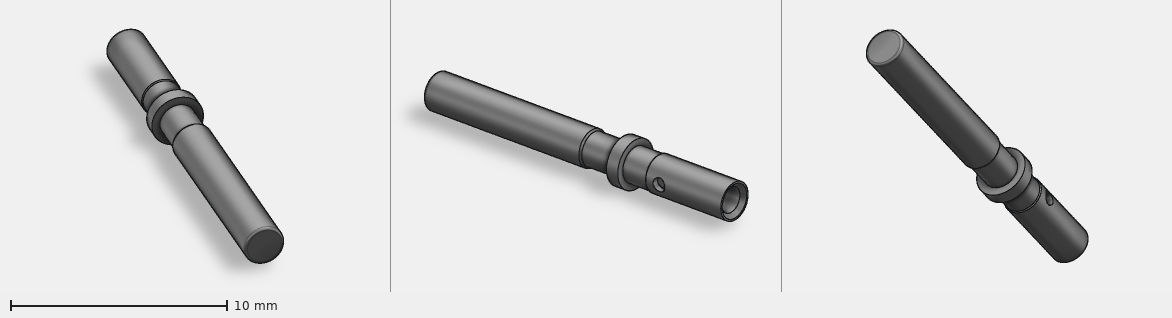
import cadquery as cq
import math

total_length = 18.1
barrel_length = 4.56
flange_start = 6.01
flange_width = 0.69
sleeve_start = 8.63

barrel_diameter = 1.95
neck_diameter = 1.85
rear_neck_diameter = 1.75
flange_diameter = 2.55

tip_round = 0.13

bore_diameter = 1.3
mouth_diameter = 1.75
bore_depth = 4.35
drill_point_angle = 118.0

inspection_diameter = 0.7
inspection_position = 3.76


def revolve_about_x(outline):
    """Turn an outline of axial position and radius into a solid around X."""
    return outline.close().revolve(360, (0, 0, 0), (1, 0, 0))


def outer_body():
    barrel_radius = barrel_diameter / 2
    neck_radius = neck_diameter / 2
    rear_neck_radius = rear_neck_diameter / 2
    flange_radius = flange_diameter / 2
    flange_end = flange_start + flange_width
    barrel_step = barrel_radius - neck_radius
    sleeve_step = barrel_radius - rear_neck_radius
    arc_middle = math.sin(math.radians(45))
    outline = (
        cq.Workplane("XY")
        .lineTo(0, barrel_radius)
        .lineTo(barrel_length, barrel_radius)
        .lineTo(barrel_length + barrel_step, neck_radius)
        .lineTo(flange_start, neck_radius)
        .lineTo(flange_start, flange_radius)
        .lineTo(flange_end, flange_radius)
        .lineTo(flange_end, rear_neck_radius)
        .lineTo(sleeve_start - sleeve_step, rear_neck_radius)
        .lineTo(sleeve_start, barrel_radius)
        .lineTo(total_length - tip_round, barrel_radius)
        .threePointArc(
            (total_length - tip_round * (1 - arc_middle), barrel_radius - tip_round * (1 - arc_middle)),
            (total_length, barrel_radius - tip_round),
        )
        .lineTo(total_length, 0)
    )
    return revolve_about_x(outline)


def wire_bore():
    bore_radius = bore_diameter / 2
    mouth_depth = (mouth_diameter - bore_diameter) / 2
    point_length = bore_radius / math.tan(math.radians(drill_point_angle / 2))
    outline = (
        cq.Workplane("XY")
        .lineTo(0, mouth_diameter / 2)
        .lineTo(mouth_depth, bore_radius)
        .lineTo(bore_depth, bore_radius)
        .lineTo(bore_depth + point_length, 0)
    )
    return revolve_about_x(outline)


def inspection_hole():
    return (
        cq.Workplane("XZ")
        .center(inspection_position, 0)
        .circle(inspection_diameter / 2)
        .extrude(-barrel_diameter)
    )


result = outer_body().cut(wire_bore()).cut(inspection_hole())